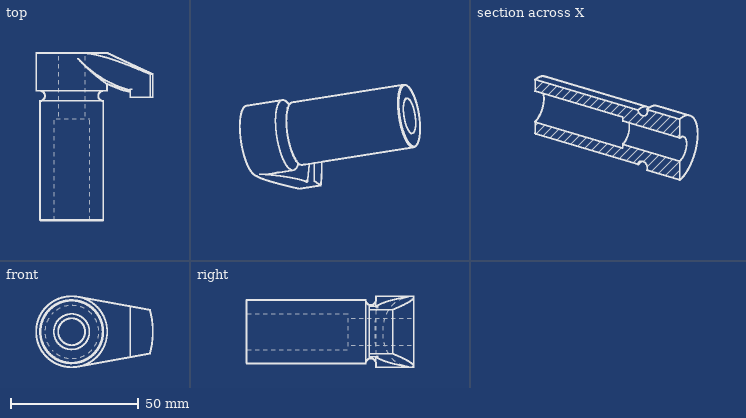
import cadquery as cq
import math

total_length = 66.0
head_diameter = 28.0
head_length = 15.0
shaft_diameter = 25.0
groove_width = 3.95
shaft_end_chamfer = 0.3
bore_diameter = 10.5
counterbore_diameter = 14.0
counterbore_depth = 40.0

arm_reach = 32.0
arm_flank_angle = 10.3
arm_back_slope = 25.0
pad_start = 23.05
pad_bottom = -17.5
pad_corner_radius = 0.5
corner_round_top = -14.25
arm_belly_start = (2.5, -4.1)
arm_belly_middle = (14.0, -12.35)
arm_belly_end = (pad_start, -15.5)
belly_cross_radius = 64.7

head_radius = head_diameter / 2
shaft_radius = shaft_diameter / 2
groove_radius = groove_width / 2
neck_radius = shaft_radius - groove_radius
groove_end = -head_length - groove_width


def make_body():
    """Head, round groove and chamfered shaft, revolved about Y."""
    return (
        cq.Workplane("XY")
        .lineTo(head_radius, 0)
        .lineTo(head_radius, -head_length)
        .lineTo(shaft_radius, -head_length)
        .threePointArc((neck_radius, -head_length - groove_radius), (shaft_radius, groove_end))
        .lineTo(shaft_radius, shaft_end_chamfer - total_length)
        .lineTo(shaft_radius - shaft_end_chamfer, -total_length)
        .lineTo(0, -total_length)
        .close()
        .revolve(360, (0, 0, 0), (0, 1, 0))
    )


def make_arm_plan():
    """Arm outline seen along Y: flanks tangent to the head, tip concentric with it."""
    angle = math.radians(arm_flank_angle)
    tangent_x = head_radius * math.sin(angle)
    tangent_z = head_radius * math.cos(angle)
    flank_length = math.sqrt(arm_reach**2 - head_radius**2)
    tip_x = tangent_x + flank_length * math.cos(angle)
    tip_z = tangent_z - flank_length * math.sin(angle)
    return (
        cq.Workplane("XZ")
        .moveTo(tangent_x, -tangent_z)
        .lineTo(tip_x, -tip_z)
        .threePointArc((arm_reach, 0), (tip_x, tip_z))
        .lineTo(tangent_x, tangent_z)
        .close()
        .extrude(-pad_bottom)
    )


def make_back_cone():
    """Conical back of the arm, falling away from the rim of the head."""
    drop = (arm_reach - head_radius) * math.tan(math.radians(arm_back_slope))
    return (
        cq.Workplane("XY")
        .lineTo(head_radius, 0)
        .lineTo(arm_reach, -drop)
        .lineTo(arm_reach, pad_bottom)
        .lineTo(0, pad_bottom)
        .close()
        .revolve(360, (0, 0, 0), (0, 1, 0))
    )


def make_belly():
    """Doubly curved underside: an arc swung about an axis parallel to X."""
    axis_y = arm_belly_end[1] + belly_cross_radius
    return (
        cq.Workplane("XY")
        .moveTo(arm_belly_start[0], axis_y)
        .lineTo(*arm_belly_start)
        .threePointArc(arm_belly_middle, arm_belly_end)
        .lineTo(pad_start, axis_y)
        .close()
        .revolve(360, (0, axis_y, 0), (1, axis_y, 0))
    )


def make_pad(top):
    """Block around the clamping pad, from the pad face up to the given y."""
    return (
        cq.Workplane("XY")
        .box(arm_reach - pad_start, top - pad_bottom, head_diameter, centered=(False, False, True))
        .translate((pad_start, pad_bottom, 0))
    )


def make_corner_waste():
    """Slivers to remove so that the two inner corners of the pad are rounded."""
    sharp_pad = make_arm_plan().intersect(make_pad(corner_round_top))
    rounded_pad = sharp_pad.faces("<X").edges("|Y").fillet(pad_corner_radius)
    return sharp_pad.cut(rounded_pad)


def make_bore():
    """Through bore with a wider counterbore from the shaft end."""
    bore = cq.Workplane("XZ").circle(bore_diameter / 2).extrude(total_length)
    counterbore = (
        cq.Workplane("XZ", origin=(0, counterbore_depth - total_length, 0))
        .circle(counterbore_diameter / 2)
        .extrude(counterbore_depth)
    )
    return bore.union(counterbore)


arm_depth = make_belly().union(make_pad(0))
arm = make_arm_plan().intersect(make_back_cone()).intersect(arm_depth).cut(make_corner_waste())
result = make_body().union(arm).cut(make_bore())